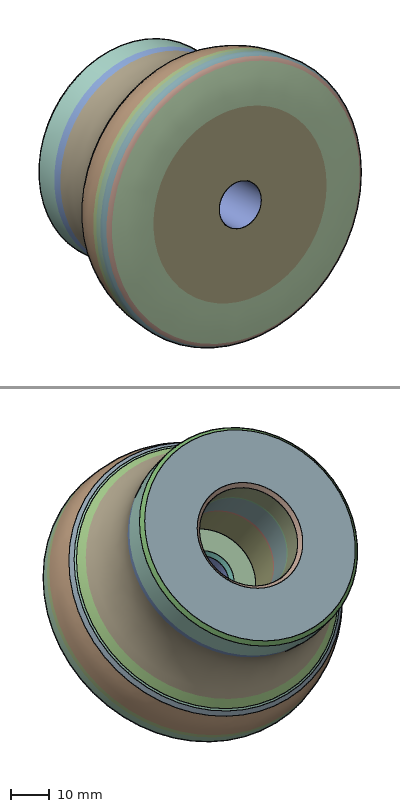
import cadquery as cq
import math


length = 50.0
rim_radius = 39.85
edge_chamfer = 1.0

hub_radius = 30.0
hub_end = (8.4, hub_radius)

neck_start = (10.7, 29.6)
neck_middle = (23.6, 30.7)
neck_end = (29.4, 34.1)

step_start = (31.5, 35.95)
step_end = (31.7, 36.5)
bevel_end = (32.8, 37.5)

flank_middle = (37.1, 39.0)
flank_end = (41.5, 39.6)
crest_start = (43.0, 39.7)
crest_end = (45.3, rim_radius)
corner_middle = (46.3, 39.6)
corner_end = (47.0, 39.1)
corner_edge_middle = (47.6, 38.65)
dome_start = (48.0, 38.1)

back_face_radius = 26.6

bore_radius = 13.5
land_radius = 13.4
land_start = 8.3
land_lead_in = 0.4
land_end = 18.0
land_lead_out = 0.95
bore_depth = 31.9

hole_radius = 6.45


def dome_middle():
    """Point halfway up the dome arc, whose centre lies level with the back face edge."""
    rise = dome_start[1] - back_face_radius
    drop = length - dome_start[0]
    dome_radius = (rise**2 + drop**2) / (2 * drop)
    half_rise = rise / 2
    half_drop = dome_radius - math.sqrt(dome_radius**2 - half_rise**2)
    return (length - half_drop, back_face_radius + half_rise)


def turned_body():
    """Solid outer form without the bore."""
    profile = (
        cq.Workplane("XY")
        .lineTo(0, hub_radius - edge_chamfer)
        .lineTo(edge_chamfer, hub_radius)
        .lineTo(*hub_end)
        .lineTo(*neck_start)
        .threePointArc(neck_middle, neck_end)
        .lineTo(*step_start)
        .lineTo(*step_end)
        .lineTo(*bevel_end)
        .threePointArc(flank_middle, flank_end)
        .lineTo(*crest_start)
        .lineTo(*crest_end)
        .threePointArc(corner_middle, corner_end)
        .threePointArc(corner_edge_middle, dome_start)
        .threePointArc(dome_middle(), (length, back_face_radius))
        .lineTo(length, 0)
        .close()
    )
    return profile.revolve(360, (0, 0, 0), (1, 0, 0))


def stepped_bore():
    """Cutter for the chamfered bore and the chamfered hole in its floor."""
    profile = (
        cq.Workplane("XY")
        .lineTo(0, bore_radius + edge_chamfer)
        .lineTo(edge_chamfer, bore_radius)
        .lineTo(land_start, bore_radius)
        .lineTo(land_start + land_lead_in, land_radius)
        .lineTo(land_end, land_radius)
        .lineTo(land_end + land_lead_out, bore_radius)
        .lineTo(bore_depth, bore_radius)
        .lineTo(bore_depth, hole_radius + edge_chamfer)
        .lineTo(bore_depth + edge_chamfer, hole_radius)
        .lineTo(length, hole_radius)
        .lineTo(length, 0)
        .close()
    )
    return profile.revolve(360, (0, 0, 0), (1, 0, 0))


result = turned_body().cut(stepped_bore())